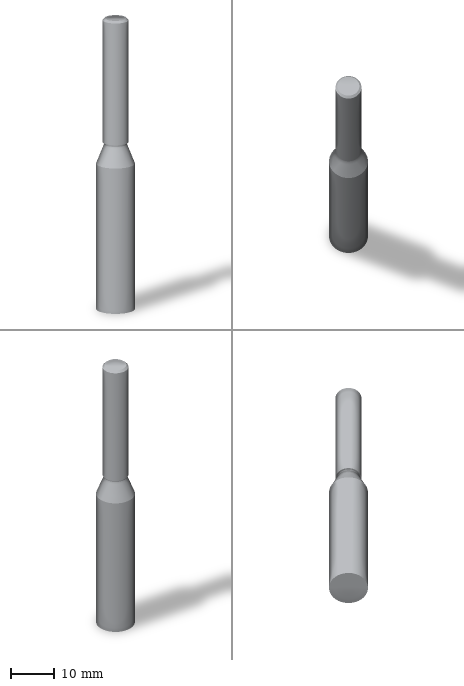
import cadquery as cq

total_length = 70.0
shank_diameter = 9.0
shank_length = 35.0

pin_diameter = 6.0
pin_length = 29.8
tip_chamfer = 0.5
neck_diameter = 5.3
neck_length = 0.5

pin_bottom = total_length - pin_length
neck_bottom = pin_bottom - neck_length
cone_length = neck_bottom - shank_length

shank = cq.Workplane("XY").circle(shank_diameter / 2).extrude(shank_length)

cone = cq.Workplane(
    cq.Solid.makeCone(
        shank_diameter / 2, neck_diameter / 2, cone_length, pnt=cq.Vector(0, 0, shank_length)
    )
)

neck = cq.Workplane("XY").workplane(offset=neck_bottom).circle(neck_diameter / 2).extrude(neck_length)

pin = (
    cq.Workplane("XY")
    .workplane(offset=pin_bottom)
    .circle(pin_diameter / 2)
    .extrude(pin_length)
    .faces(">Z")
    .chamfer(tip_chamfer)
)

result = shank.union(cone).union(neck).union(pin)